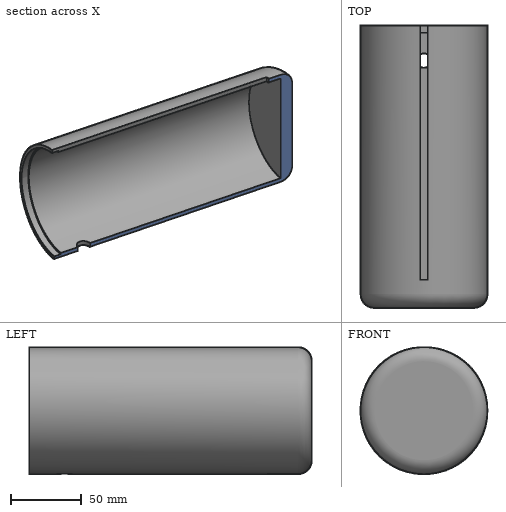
import cadquery as cq

length = 200.0
outer_diameter = 90.0
end_radius = 10.0

bore_diameter = 83.0
floor_thickness = 10.0
mouth_diameter = 85.0
mouth_depth = 5.5

slot_width = 5.2
slot_length = 180.0

hole_diameter = 10.0
hole_from_mouth = 25.0


def cylinder_from_mouth(diameter, depth):
    """Cylinder on the cup axis, running from the mouth plane towards the closed end."""
    return cq.Workplane("XZ", origin=(0, length, 0)).circle(diameter / 2).extrude(depth)


body = cylinder_from_mouth(outer_diameter, length).faces("<Y").edges().fillet(end_radius)

body = body.cut(cylinder_from_mouth(bore_diameter, length - floor_thickness))
body = body.cut(cylinder_from_mouth(mouth_diameter, mouth_depth))

slot = cq.Workplane("XY").box(
    slot_width, slot_length, outer_diameter, centered=(True, False, False)
).translate((0, length - slot_length, 0))
body = body.cut(slot)

hole = (
    cq.Workplane("XY", origin=(0, length - hole_from_mouth, 0))
    .circle(hole_diameter / 2)
    .extrude(-outer_diameter)
)
result = body.cut(hole)